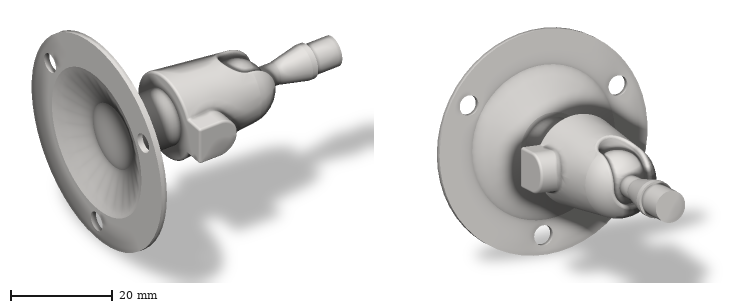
import cadquery as cq
import math


flange_radius = 23.05
sheet_thickness = 1.25
dish_rim_radius = 15.85
dish_floor_radius = 7.0
dish_depth = 3.8
post_radius = 6.05
screw_hole_radius = 2.1
screw_circle_radius = 19.05
screw_hole_angles = (30, 150, 270)

housing_start = 15.95
housing_base_radius = 9.45
dome_radius = 7.65
ball_center = 33.35
outer_fillet = 0.5

opening_radius = 3.75
opening_fillet = 0.5

lug_reach = 12.7
lug_radius = 4.15
lug_center = 20.85
root_fillet = 0.5

ball_radius = 5.95
neck_radius = 2.35
neck_end = 42.25
collar_radius = 3.75
collar_start = 48.9
collar_end = 50.15
tip_radius = 3.25
stud_end = 56.2


def revolve_about_y(profile):
    """Turn a closed half-profile in the XY plane into a solid about the Y axis."""
    return profile.close().revolve(360, (0, 0, 0), (0, 1, 0))


def make_base():
    dish_top = dish_depth + sheet_thickness
    base = revolve_about_y(
        cq.Workplane("XY")
        .moveTo(0, dish_depth)
        .lineTo(dish_floor_radius, dish_depth)
        .lineTo(dish_rim_radius, 0)
        .lineTo(flange_radius, 0)
        .lineTo(flange_radius, sheet_thickness)
        .lineTo(dish_rim_radius, sheet_thickness)
        .lineTo(dish_floor_radius, dish_top)
        .lineTo(post_radius, dish_top)
        .lineTo(post_radius, housing_start)
        .lineTo(0, housing_start)
    )
    for angle in screw_hole_angles:
        x = screw_circle_radius * math.cos(math.radians(angle))
        z = screw_circle_radius * math.sin(math.radians(angle))
        hole = cq.Solid.makeCylinder(
            screw_hole_radius, sheet_thickness, cq.Vector(x, 0, z), cq.Vector(0, 1, 0)
        )
        base = base.cut(cq.Workplane(obj=hole))
    return base


def make_housing_shell():
    rise = ball_center - housing_start
    edge_distance = math.hypot(housing_base_radius, rise)
    edge_direction = math.atan2(-rise, housing_base_radius)
    tangent_angle = edge_direction + math.acos(dome_radius / edge_distance)
    middle_angle = (tangent_angle + math.pi / 2) / 2

    def dome_point(angle):
        return dome_radius * math.cos(angle), ball_center + dome_radius * math.sin(angle)

    return revolve_about_y(
        cq.Workplane("XY")
        .moveTo(0, housing_start)
        .lineTo(housing_base_radius, housing_start)
        .lineTo(*dome_point(tangent_angle))
        .threePointArc(dome_point(middle_angle), dome_point(math.pi / 2))
    )


def make_lug():
    return (
        cq.Workplane("YZ")
        .moveTo(housing_start, -lug_radius)
        .lineTo(lug_center, -lug_radius)
        .threePointArc((lug_center + lug_radius, 0), (lug_center, lug_radius))
        .lineTo(housing_start, lug_radius)
        .close()
        .extrude(lug_reach)
    )


def make_opening():
    """Bore along +Y joined to a round-bottomed slot open towards +Z."""
    clearance = 2 * dome_radius
    origin = cq.Vector(0, ball_center, 0)
    bore = cq.Solid.makeCylinder(opening_radius, clearance, origin, cq.Vector(0, 1, 0))
    slot_end = cq.Solid.makeCylinder(opening_radius, clearance, origin, cq.Vector(0, 0, 1))
    slot = cq.Workplane("XY").box(
        2 * opening_radius, clearance, clearance, centered=(True, False, False)
    ).translate((0, ball_center, 0))
    return slot.union(cq.Workplane(obj=slot_end)).union(cq.Workplane(obj=bore))


def make_ball():
    return cq.Workplane("XY").sphere(ball_radius).translate((0, ball_center, 0))


def is_opening_rim(edge):
    """True for edges where the opening breaks through the outer skin of the housing."""
    middle = edge.Center()
    outside_ball = (middle - cq.Vector(0, ball_center, 0)).Length > ball_radius
    near_opening = abs(middle.x) < opening_radius + opening_fillet
    above_slot_end = middle.y > ball_center - opening_radius
    return outside_ball and near_opening and above_slot_end


def make_housing():
    housing = make_housing_shell().union(make_lug())
    lug_root = cq.selectors.BoxSelector(
        (post_radius, housing_start + root_fillet, -lug_radius),
        (housing_base_radius, lug_center + lug_radius, lug_radius),
    )
    housing = housing.edges(lug_root).fillet(root_fillet)
    housing = housing.faces(">X or <Y").edges().fillet(outer_fillet)

    housing = housing.cut(make_opening())
    rim_edges = [edge for edge in housing.edges().vals() if is_opening_rim(edge)]
    housing = housing.newObject(rim_edges).fillet(opening_fillet)
    return housing.cut(make_ball())


def make_stud():
    stem = revolve_about_y(
        cq.Workplane("XY")
        .moveTo(0, ball_center)
        .lineTo(neck_radius, ball_center)
        .lineTo(neck_radius, neck_end)
        .lineTo(collar_radius, collar_start)
        .lineTo(collar_radius, collar_end)
        .lineTo(tip_radius, collar_end)
        .lineTo(tip_radius, stud_end)
        .lineTo(0, stud_end)
    )
    return make_ball().union(stem)


base = make_base().solids()
housing = make_housing().solids()
stud = make_stud().solids()

result = cq.Compound.makeCompound([base.val(), housing.val(), stud.val()])